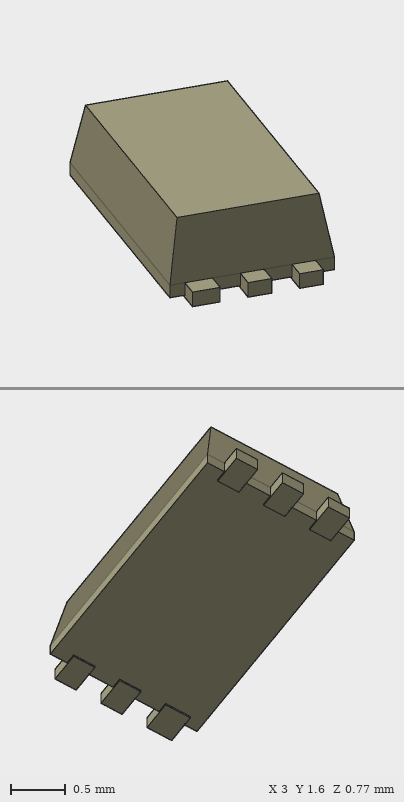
import cadquery as cq
import math

overall_length = 3.0
overall_height = 0.77

body_length = 2.6
body_width = 1.6
standoff = 0.02
draft_angle = 10.0

lead_thickness = 0.15
lead_length = 0.31
lead_width = 0.23
wide_lead_width = 0.27
lead_pitch = 0.5


def make_body():
    """Rectangular base with a cap that tapers equally on all four sides."""
    cap_height = overall_height - lead_thickness
    inset = cap_height * math.tan(math.radians(draft_angle))
    base = (
        cq.Workplane("XY")
        .workplane(offset=standoff)
        .rect(body_length, body_width)
        .extrude(lead_thickness - standoff)
    )
    cap = (
        cq.Workplane("XY")
        .workplane(offset=lead_thickness)
        .rect(body_length, body_width)
        .workplane(offset=cap_height)
        .rect(body_length - 2 * inset, body_width - 2 * inset)
        .loft(ruled=True)
    )
    return base.union(cap)


def make_lead(end, upper_edge, width):
    """Lead at the -X (end=-1) or +X (end=1) end, widening toward -Y from its +Y edge."""
    center_x = end * (overall_length - lead_length) / 2
    center_y = upper_edge - width / 2
    return (
        cq.Workplane("XY")
        .center(center_x, center_y)
        .rect(lead_length, width)
        .extrude(lead_thickness)
    )


result = make_body()
for end in (-1, 1):
    for row in (-1, 0, 1):
        is_wide = end == 1 and row == -1
        width = wide_lead_width if is_wide else lead_width
        upper_edge = row * lead_pitch + lead_width / 2
        result = result.union(make_lead(end, upper_edge, width))